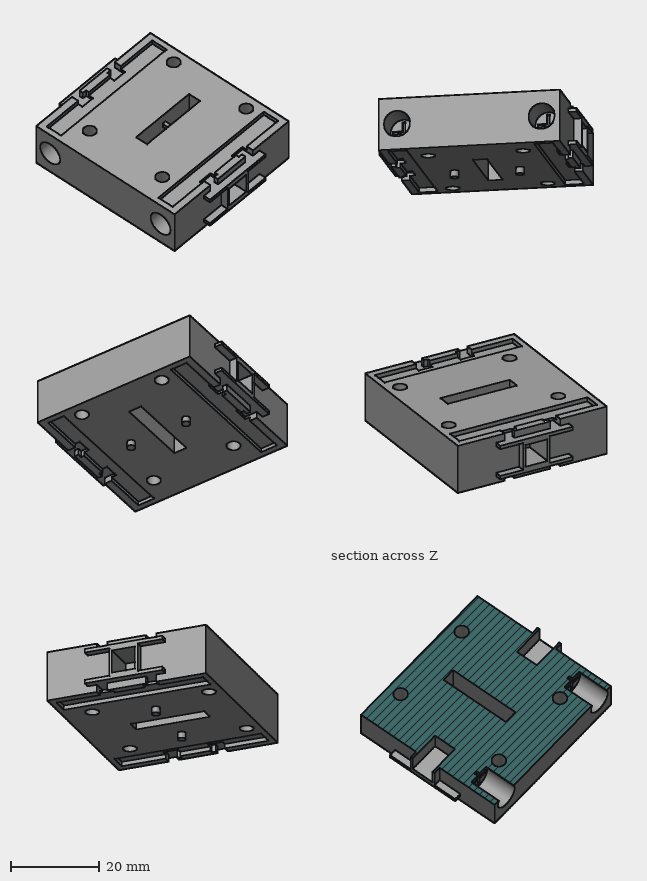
import cadquery as cq

body_width = 41.8
body_length = 39.0
body_height = 12.0
side_x = body_width / 2
front_y = -body_length / 2
mid_z = body_height / 2

overall_width = 45.5
rail_depth = (overall_width - body_width) / 2
rail_length = 19.0
rail_height = 8.5
flange_thickness = 0.85
web_length = 7.0
window_length = 5.7
window_height = 5.5
window_depth = 8.0

channel_margin = 1.9
channel_width = 4.3
channel_length = 36.0
channel_depth = 1.05

notch_depth = (body_height - rail_height) / 2
notch_outer_y = 7.27
notch_step_y = 4.71
notch_inner_y = 3.66
notch_step_depth = 1.05
notch_full_depth = 3.15

screw_x = 16.68
screw_diameter = 6.0
screw_recess_depth = 8.0
cross_length = 5.0
cross_width = 0.7
cross_depth = 1.0

hole_diameter = 3.2
hole_spacing_x = 21.9
hole_spacing_y = 28.65
hole_center_x = 0.1
hole_center_y = 1.75

slot_width = 3.3
slot_length = 18.1
slot_center_y = 1.9
bar_size = 1.0
bar_center_y = 2.388
bar_top_drop = 2.65

pin_diameter = 1.9
pin_height = 1.5
pin_spacing = 15.1
pin_y = 1.55

SIDES = (-1, 1)


def box(size_x, size_y, size_z, center):
    return cq.Workplane("XY").box(size_x, size_y, size_z).translate(center)


def rail(side):
    """I-shaped rail standing out from one X side."""
    center = (side * (side_x + rail_depth / 2), 0, mid_z)
    flanges = box(rail_depth, rail_length, rail_height, center)
    gap_height = rail_height - 2 * flange_thickness
    gap = box(rail_depth, rail_length, gap_height, center)
    web = box(rail_depth, web_length, gap_height, center)
    return flanges.cut(gap).union(web)


def window(side):
    """Blind rectangular pocket entering through the web of a rail."""
    center_x = side * (overall_width / 2 - window_depth / 2)
    return box(window_depth, window_length, window_height, (center_x, 0, mid_z))


def channel(side):
    """Channel cutter for the top face."""
    center_x = side * (side_x - channel_margin - channel_width / 2)
    center_z = body_height - channel_depth / 2
    return box(channel_width, channel_length, channel_depth, (center_x, 0, center_z))


def notch(side, end):
    """L-shaped notch cutter for the top face."""
    step_x = side * (side_x - notch_step_depth)
    inner_x = side * (side_x - notch_full_depth)
    outline = [
        (side * side_x, end * notch_outer_y),
        (inner_x, end * notch_outer_y),
        (inner_x, end * notch_inner_y),
        (step_x, end * notch_inner_y),
        (step_x, end * notch_step_y),
        (side * side_x, end * notch_step_y),
    ]
    floor = cq.Workplane("XY").workplane(offset=body_height - notch_depth)
    return floor.polyline(outline).close().extrude(notch_depth)


def screw_recess(side):
    """Round recess in the front face with a cross slot in its floor."""
    center_x = side * screw_x
    face = cq.Workplane("XZ", origin=(center_x, front_y, mid_z))
    recess = face.circle(screw_diameter / 2).extrude(-screw_recess_depth)
    cross_center = (center_x, front_y + screw_recess_depth + cross_depth / 2, mid_z)
    across = box(cross_length, cross_depth, cross_width, cross_center)
    upright = box(cross_width, cross_depth, cross_length, cross_center)
    return recess.union(across).union(upright)


def mirrored_in_height(cutter):
    """The same cutter turned over for the bottom face."""
    return cutter.mirror("XY", (0, 0, mid_z))


def mounting_holes():
    pattern = cq.Workplane("XY", origin=(hole_center_x, hole_center_y, 0))
    pattern = pattern.rarray(hole_spacing_x, hole_spacing_y, 2, 2)
    return pattern.circle(hole_diameter / 2).extrude(body_height)


def pins():
    pattern = cq.Workplane("XY", origin=(0, pin_y, 0)).rarray(pin_spacing, 1, 2, 1)
    return pattern.circle(pin_diameter / 2).extrude(-pin_height)


result = box(body_width, body_length, body_height, (0, 0, mid_z))

for side in SIDES:
    result = result.union(rail(side))
    result = result.cut(window(side)).cut(screw_recess(side))
    top_cutters = [channel(side)]
    for end in SIDES:
        top_cutters.append(notch(side, end))
    for cutter in top_cutters:
        result = result.cut(cutter).cut(mirrored_in_height(cutter))

result = result.cut(mounting_holes())
result = result.cut(box(slot_width, slot_length, body_height, (0, slot_center_y, mid_z)))

bar_center_z = body_height - bar_top_drop - bar_size / 2
result = result.union(box(slot_width, bar_size, bar_size, (0, bar_center_y, bar_center_z)))
result = result.union(pins())